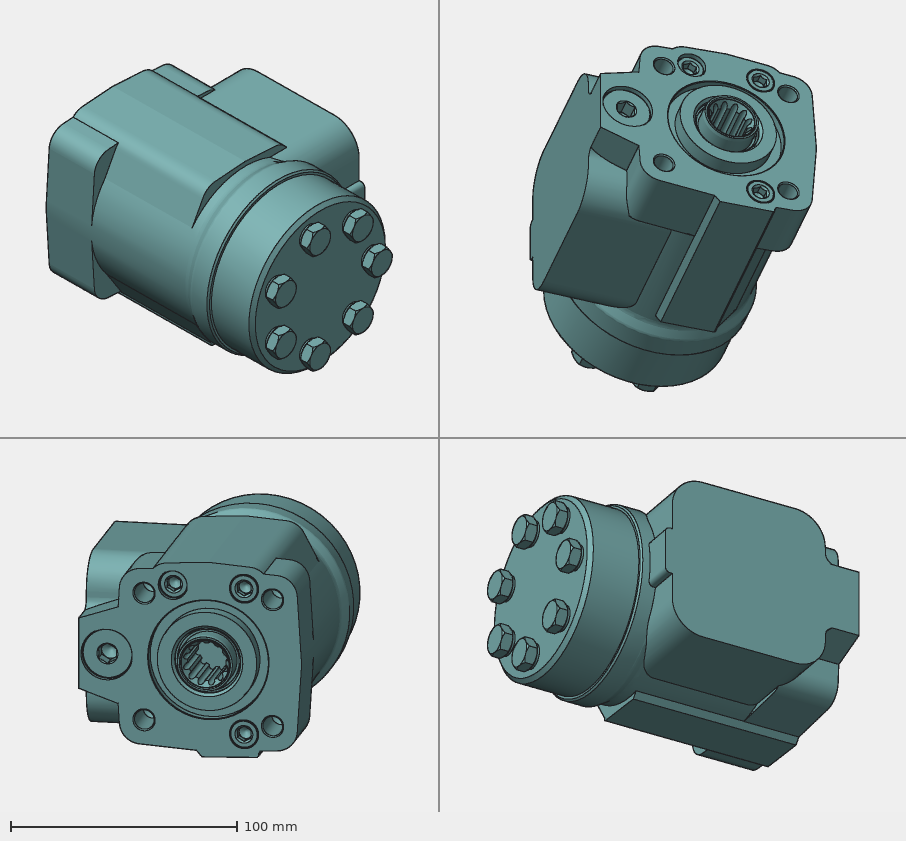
import cadquery as cq
import math


BODY_R = 42.0
RIM_R = 45.0
RIM_CHAMFER = 0.9
NECK_FILLET_X = 86.4
FLARE_START = (88.8, 42.5)
FLARE_END = (92.3, 44.7)
RIM_START = 93.7
HOUSING_END = 103.5
FLANGE_T = 28.1

FLANGE_CORNER = 39.5
FLANGE_FLAT = 4.2
FLANGE_CORNER_R = 9.6

CROWN_END = 82.1
CROWN_PEAK_Z = 44.5
CROWN_EDGE = (18.6, 43.3)
CROWN_SHOULDER = (26.8, 37.8)
CROWN_FOOT = (33.5, 25.2)
CROWN_ROUND_MIDDLE = (23.6, 41.5)

PAD_END = 83.1
PAD_OUTLINE = [
    (-32.2, -27.0), (-22.6, -41.7), (-22.6, -43.0), (-21.9, -43.5),
    (2.9, -44.5), (5.7, -41.3), (5.7, -27.0),
]

PORT_FACE_Y = 58.5
BLOCK_HALF_H = 39.1
BLOCK_START = 17.2
BLOCK_END = 95.3
BLOCK_ROUND_R = 15.3
BLOCK_FOOT_R = 5.3
BLOCK_FOOT_Z = 21.0
WING_ROOT = (40.7, 22.0)
WING_TIP_Z = 16.0
BOSS_END = 98.9
BOSS_HALF_H = 11.3
BOSS_ROUND_R = 2.5

SHAFT_D = 25.4
SHAFT_FRONT = -7.7
SHAFT_BACK = 43.0
SHAFT_TAPER_L = 1.9
SHAFT_TIP_D = 24.8
MOUTH_D = 22.0
MOUTH_CHAMFER_D = 23.0
MOUTH_L = 4.3
SPLINE_D = 17.2
SPLINE_TEETH = 12
SPLINE_GROOVE_D = 2.9
SPLINE_GROOVE_PITCH_R = 8.7
SPLINE_L = 28.7
HUB_D = 44.8
HUB_FRONT = -2.9
HUB_GROOVE_D = 54.0
HUB_GROOVE_CHAMFER_D = 54.7
HUB_GROOVE_DEPTH = 4.3
SEAL_D = 29.7
SEAL_CHAMFER_D = 32.2
SEAL_DEPTH = 2.7
SEAL_STEP_D = 28.0
SEAL_STEP_DEPTH = 4.3

MOUNT_OFFSET = 29.0
MOUNT_D = 8.9
MOUNT_CHAMFER_D = 10.0
MOUNT_DEPTH = 20.0
HEAD_GAP_DEPTH = 0.7
SCREW_Y = 16.0
SCREW_Z = 33.2
SCREW_HEAD_D = 12.0
SCREW_BORE_D = 13.0
SCREW_SUNK = 1.9
SCREW_SOCKET_AF = 6.0
SCREW_SOCKET_CHAMFER_D = 8.0
SCREW_SOCKET_DEPTH = 4.3
PLUG_Y = 45.8
PLUG_D = 22.0
PLUG_BORE_D = 23.0
PLUG_SUNK = 1.9
PLUG_SOCKET_AF = 8.0
PLUG_SOCKET_CHAMFER_D = 9.5
PLUG_SOCKET_DEPTH = 7.2

COVER_R = 43.0
COVER_END = 128.7
COVER_CHAMFER = 2.0
BOLT_COUNT = 7
BOLT_CIRCLE_R = 31.8
BOLT_COLLAR_D = 12.0
BOLT_HEAD_AF = 13.0
BOLT_HEAD_FRONT = 130.0
BOLT_HEAD_END = 135.5
BOLT_HEAD_EDGE = 0.9

CONE_POINT = 0.3


def plane_at(x, y=0.0, z=0.0):
    """Work plane facing +X whose local axes are Y and Z."""
    return cq.Workplane("YZ", origin=(x, y, z))


def disc(x0, x1, diameter, y=0.0, z=0.0):
    return plane_at(x0, y, z).circle(diameter / 2).extrude(x1 - x0)


def cone(x0, d0, x1, d1, y=0.0, z=0.0):
    return cq.Workplane(cq.Solid.makeCone(d0 / 2, d1 / 2, x1 - x0, cq.Vector(x0, y, z), cq.Vector(1, 0, 0)))


def hexagon(x0, x1, across_flats, y, z, turn):
    """Hexagonal prism along X; turn = 0 puts two corners on the Y direction."""
    across_corners = across_flats / math.cos(math.pi / 6)
    prism = plane_at(x0, y, z).polygon(6, across_corners).extrude(x1 - x0)
    return prism.rotate((x0, y, z), (x0 + 1.5, y, z), turn)


def drill_point(x, diameter, y, z):
    return cone(x, diameter, x + CONE_POINT * diameter, 0, y, z)


def chamfer_45(x, wide_d, narrow_d, y=0.0, z=0.0):
    return cone(x, wide_d, x + (wide_d - narrow_d) / 2, narrow_d, y, z)


def barrel():
    """Barrel, flared neck and collar as one turned shape."""
    profile = (
        cq.Workplane("XY")
        .lineTo(0, BODY_R)
        .lineTo(NECK_FILLET_X, BODY_R)
        .tangentArcPoint(FLARE_START, relative=False)
        .lineTo(*FLARE_END)
        .tangentArcPoint((RIM_START, RIM_R), relative=False)
        .lineTo(HOUSING_END - RIM_CHAMFER, RIM_R)
        .lineTo(HOUSING_END, RIM_R - RIM_CHAMFER)
        .lineTo(HOUSING_END, 0)
        .close()
    )
    return profile.revolve(360, (0, 0, 0), (1, 0, 0))


def flange():
    mid = math.sqrt(BODY_R**2 - FLANGE_FLAT**2)
    quarter = [(mid, FLANGE_FLAT), (FLANGE_CORNER, FLANGE_CORNER), (FLANGE_FLAT, mid)]
    upper = quarter + [(-y, z) for y, z in reversed(quarter)]
    outline = upper + [(y, -z) for y, z in reversed(upper)]
    plate = plane_at(0).polyline(outline).close().extrude(FLANGE_T)
    corner_edges = plate.edges("|X").filter(
        lambda edge: min(abs(edge.Center().y), abs(edge.Center().z)) > FLANGE_FLAT + 1.5
    )
    return corner_edges.fillet(FLANGE_CORNER_R)


def crown():
    (edge_y, edge_z), (mid_y, mid_z) = CROWN_EDGE, CROWN_ROUND_MIDDLE
    (shoulder_y, shoulder_z), (foot_y, foot_z) = CROWN_SHOULDER, CROWN_FOOT
    return (
        plane_at(0)
        .moveTo(0, CROWN_PEAK_Z)
        .lineTo(edge_y, edge_z)
        .threePointArc((mid_y, mid_z), (shoulder_y, shoulder_z))
        .lineTo(foot_y, foot_z)
        .lineTo(-foot_y, foot_z)
        .lineTo(-shoulder_y, shoulder_z)
        .threePointArc((-mid_y, mid_z), (-edge_y, edge_z))
        .close()
        .extrude(CROWN_END)
    )


def pad():
    return plane_at(0).polyline(PAD_OUTLINE).close().extrude(PAD_END)


def wing():
    root_y, root_z = WING_ROOT
    outline = [
        (0, root_z), (root_y, root_z), (PORT_FACE_Y, WING_TIP_Z),
        (PORT_FACE_Y, -WING_TIP_Z), (root_y, -root_z), (0, -root_z),
    ]
    return plane_at(0).polyline(outline).close().extrude(FLANGE_T)


def port_block():
    def prism(sketch):
        return sketch.extrude(-PORT_FACE_Y)

    block = prism(
        cq.Workplane("XZ")
        .moveTo((BLOCK_START + BLOCK_END) / 2, 0)
        .rect(BLOCK_END - BLOCK_START, 2 * BLOCK_HALF_H)
    ).edges("|Y").fillet(BLOCK_ROUND_R)
    foot_top = BLOCK_FOOT_Z
    foot_bottom = BLOCK_FOOT_Z - BLOCK_FOOT_R
    foot_front = BLOCK_START - BLOCK_FOOT_R
    bend = BLOCK_FOOT_R * (1 - math.sqrt(0.5))
    foot = prism(
        cq.Workplane("XZ")
        .moveTo(BLOCK_START, foot_top)
        .threePointArc((BLOCK_START - bend, foot_bottom + bend), (foot_front, foot_bottom))
        .lineTo(foot_front, -foot_bottom)
        .threePointArc((BLOCK_START - bend, -foot_bottom - bend), (BLOCK_START, -foot_top))
        .close()
    )
    boss = prism(
        cq.Workplane("XZ")
        .moveTo((BLOCK_START + BOSS_END) / 2, 0)
        .rect(BOSS_END - BLOCK_START, 2 * BOSS_HALF_H)
    ).edges("|Y and >X").fillet(BOSS_ROUND_R)
    return block.union(foot).union(boss)


def socket(x, across_flats, chamfer_d, depth, y, z):
    """Hexagon socket with a round entry chamfer and a drill point, starting at x."""
    return (
        hexagon(x, x + depth, across_flats, y, z, 30)
        .union(chamfer_45(x, chamfer_d, across_flats, y, z))
        .union(drill_point(x + depth, across_flats, y, z))
    )


def mounting_hole(y, z):
    return (
        disc(0, MOUNT_DEPTH, MOUNT_D, y, z)
        .union(chamfer_45(0, MOUNT_CHAMFER_D, MOUNT_D, y, z))
        .union(drill_point(MOUNT_DEPTH, MOUNT_D, y, z))
    )


def head_recess(bore_d, head_d, sunk, y, z):
    """Bore around a round head, open above a sunk head, with a thin gap left around the head."""
    bottom = sunk + HEAD_GAP_DEPTH
    return disc(0, bottom, bore_d, y, z).cut(disc(sunk, bottom, head_d, y, z))


def screw_recess(y, z, sunk):
    hole = socket(sunk, SCREW_SOCKET_AF, SCREW_SOCKET_CHAMFER_D, SCREW_SOCKET_DEPTH, y, z)
    return head_recess(SCREW_BORE_D, SCREW_HEAD_D, sunk, y, z).union(hole)


def plug_recess():
    hole = socket(PLUG_SUNK, PLUG_SOCKET_AF, PLUG_SOCKET_CHAMFER_D, PLUG_SOCKET_DEPTH, PLUG_Y, 0)
    return head_recess(PLUG_BORE_D, PLUG_D, PLUG_SUNK, PLUG_Y, 0).union(hole)


def hub_groove():
    recess = disc(0, HUB_GROOVE_DEPTH, HUB_GROOVE_D)
    rim = chamfer_45(0, HUB_GROOVE_CHAMFER_D, HUB_GROOVE_D)
    return recess.union(rim).cut(disc(0, HUB_GROOVE_DEPTH, HUB_D))


def shaft_hole():
    return (
        disc(HUB_FRONT, SHAFT_BACK, SHAFT_D)
        .union(disc(HUB_FRONT, HUB_FRONT + SEAL_DEPTH, SEAL_D))
        .union(disc(HUB_FRONT, HUB_FRONT + SEAL_STEP_DEPTH, SEAL_STEP_D))
        .union(chamfer_45(HUB_FRONT, SEAL_CHAMFER_D, SEAL_D))
    )


def make_housing():
    body = barrel()
    for part in (flange(), crown(), pad(), wing(), port_block(), disc(HUB_FRONT, HUB_GROOVE_DEPTH, HUB_D)):
        body = body.union(part)
    body = body.cut(hub_groove()).cut(shaft_hole()).cut(plug_recess())
    for side_y in (1, -1):
        for side_z in (1, -1):
            body = body.cut(mounting_hole(side_y * MOUNT_OFFSET, side_z * MOUNT_OFFSET))
    for side_y, side_z, sunk in ((1, 1, SCREW_SUNK), (-1, 1, 0), (-1, -1, 0)):
        body = body.cut(screw_recess(side_y * SCREW_Y, side_z * SCREW_Z, sunk))
    return body


def make_shaft():
    taper_end = SHAFT_FRONT + SHAFT_TAPER_L
    shaft = disc(taper_end, SHAFT_BACK, SHAFT_D).union(cone(SHAFT_FRONT, SHAFT_TIP_D, taper_end, SHAFT_D))
    shaft = shaft.cut(chamfer_45(SHAFT_FRONT, MOUTH_CHAMFER_D, MOUTH_D))
    shaft = shaft.cut(cone(SHAFT_FRONT, MOUTH_D, SHAFT_FRONT + MOUTH_L, SPLINE_D))
    shaft = shaft.cut(disc(SHAFT_FRONT, SHAFT_FRONT + SPLINE_L, SPLINE_D))
    grooves = (
        plane_at(SHAFT_FRONT)
        .polarArray(SPLINE_GROOVE_PITCH_R, 180 / SPLINE_TEETH, 360, SPLINE_TEETH)
        .circle(SPLINE_GROOVE_D / 2)
        .extrude(SPLINE_L)
    )
    return shaft.cut(grooves)


def bolt_head(y, z):
    """Round collar and hexagon head whose corners are turned off at both ends."""
    corner_d = BOLT_HEAD_AF / math.cos(math.pi / 6)
    head = hexagon(BOLT_HEAD_FRONT, BOLT_HEAD_END, BOLT_HEAD_AF, y, z, 0)
    turned = (
        disc(BOLT_HEAD_FRONT, BOLT_HEAD_END, corner_d, y, z)
        .faces("<X or >X")
        .chamfer(BOLT_HEAD_EDGE, (corner_d - BOLT_HEAD_AF) / 2)
    )
    return head.intersect(turned).union(disc(COVER_END, BOLT_HEAD_FRONT, BOLT_COLLAR_D, y, z))


def make_end_cover():
    cover = disc(HOUSING_END, COVER_END, 2 * COVER_R).faces(">X").chamfer(COVER_CHAMFER)
    for i in range(BOLT_COUNT):
        angle = 2 * math.pi * i / BOLT_COUNT
        cover = cover.union(bolt_head(BOLT_CIRCLE_R * math.cos(angle), BOLT_CIRCLE_R * math.sin(angle)))
    return cover


housing = make_housing()
shaft = make_shaft()
end_cover = make_end_cover()
result = cq.Compound.makeCompound([housing.val(), shaft.val(), end_cover.val()])